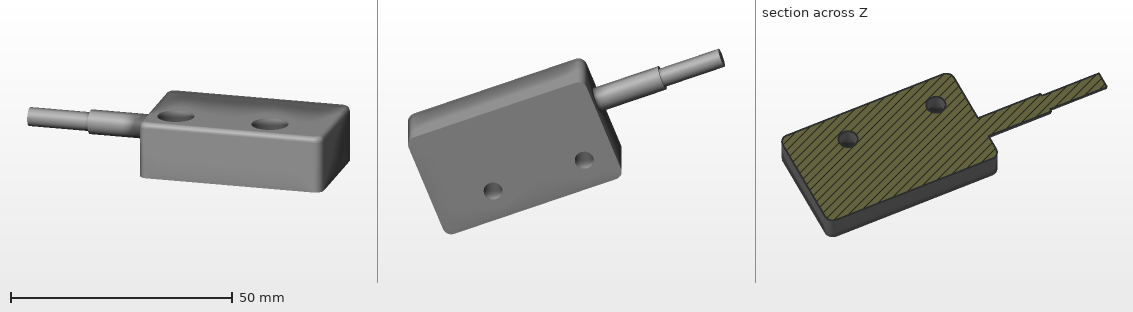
import cadquery as cq

body_length = 43.0
body_width = 26.0
body_height = 13.0
corner_radius = 2.0
top_edge_radius = 1.2

hole_diameter = 4.3
counterbore_diameter = 8.4
counterbore_depth = 4.5
hole_inset = 7.0
hole_spacing = 22.0
hole_count = 2

cable_exit_length = 30.0
cable_diameter = 4.3
sleeve_length = 15.7
sleeve_diameter = 5.6
cable_y = body_width - 8.8
cable_z = body_height / 2


def make_housing():
    """Block with rounded vertical corners and a rounded top rim."""
    block = cq.Workplane("XY").box(body_length, body_width, body_height, centered=False)
    return block.edges("|Z").fillet(corner_radius).faces(">Z").edges().fillet(top_edge_radius)


def drill_mounting_holes(housing):
    """Row of counterbored through holes along the -Y side."""
    hole_centers = [(hole_inset + i * hole_spacing, hole_inset) for i in range(hole_count)]
    return (
        housing.faces(">Z")
        .workplane(origin=(0, 0, body_height))
        .pushPoints(hole_centers)
        .cboreHole(hole_diameter, counterbore_diameter, counterbore_depth)
    )


def make_rod(diameter, length):
    """Round rod running from the housing's cable-exit face toward -X."""
    exit_plane = cq.Workplane("YZ").center(cable_y, cable_z)
    return exit_plane.circle(diameter / 2).extrude(-length)


housing = drill_mounting_holes(make_housing())
sleeve = make_rod(sleeve_diameter, sleeve_length)
cable = make_rod(cable_diameter, cable_exit_length)

result = housing.union(sleeve).union(cable)